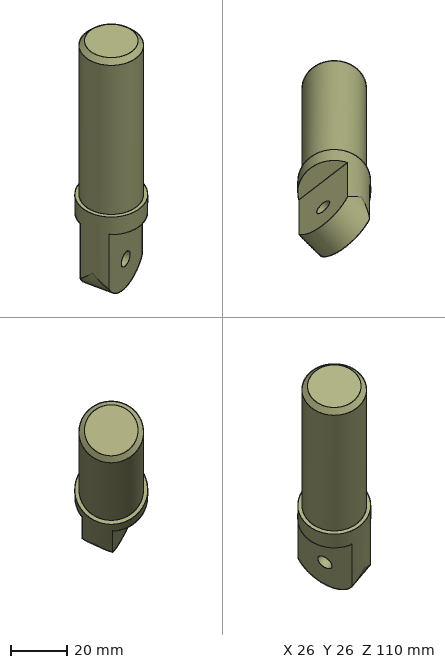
import cadquery as cq

total_length = 110.0
collar_diameter = 26.0
shank_diameter = 23.0
shank_chamfer = 2.0
collar_top = 40.0
tang_length = 32.0
tang_thickness = 12.0
hole_diameter = 6.0

tip_radius = collar_diameter / 2
tip_center = tip_radius


def make_shank():
    """Round shank above the collar, chamfered at its free end."""
    shank = cq.Workplane("XY").workplane(offset=collar_top).circle(shank_diameter / 2)
    shank = shank.extrude(total_length - collar_top)
    return shank.faces(">Z").chamfer(shank_chamfer)


def make_collar():
    """Full round collar between the shank and the tang."""
    collar = cq.Workplane("XY").workplane(offset=tang_length).circle(collar_diameter / 2)
    return collar.extrude(collar_top - tang_length)


def make_tang():
    """Flat tang cut from the collar cylinder, with a rounded tip."""
    profile = (
        cq.Workplane("YZ")
        .moveTo(-tip_radius, tang_length)
        .lineTo(-tip_radius, tip_center)
        .threePointArc((0, 0), (tip_radius, tip_center))
        .lineTo(tip_radius, tang_length)
        .close()
        .extrude(tang_thickness / 2, both=True)
    )
    cylinder = cq.Workplane("XY").circle(collar_diameter / 2).extrude(tang_length)
    return profile.intersect(cylinder)


def make_pin_hole():
    """Cross hole through the tang thickness."""
    hole = cq.Workplane("YZ").center(0, tip_center).circle(hole_diameter / 2)
    return hole.extrude(tang_thickness, both=True)


result = make_collar().union(make_shank()).union(make_tang()).cut(make_pin_hole())
result = result.translate((0, 0, -total_length / 2))